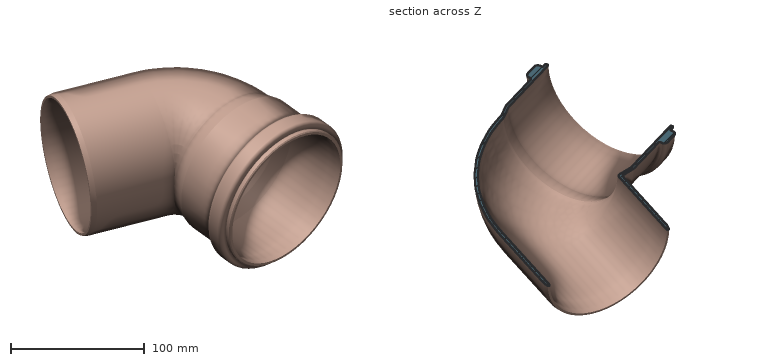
import cadquery as cq
import math

pipe_radius = 110.4 / 2
bore_radius = 104.7 / 2
bend_radius = bore_radius
bend_angle = 67.5
spigot_length = 67.7
tip_chamfer_length = 4.1
tip_chamfer_depth = 1.0

socket_radius = 116.3 / 2
socket_bore_radius = 111.0 / 2
collar_radius = 127.2 / 2
lip_radius = 116.7 / 2
neck_length = 2.0
cone_length = 10.9
barrel_length = 33.8
foot_length = 0.5
collar_length = 15.0
collar_rounding = 3.0
groove_length = 1.4
lip_length = 2.8
lip_chamfer = 0.8

cone_end = neck_length + cone_length
collar_start = cone_end + barrel_length
collar_end = collar_start + collar_length
lip_start = collar_end + groove_length
socket_length = lip_start + lip_length

turn = math.radians(bend_angle)
socket_origin = (bend_radius * (1 - math.cos(turn)), bend_radius * math.sin(turn), 0)
socket_direction = (math.sin(turn), math.cos(turn), 0)
socket_plane = cq.Plane(origin=socket_origin, xDir=(0, 0, 1), normal=socket_direction)


def spigot(radius):
    return cq.Workplane("XZ").circle(radius).extrude(spigot_length)


def bend(radius):
    """Sweep the part of a round section that lies outside the bend axis."""
    half_chord = math.sqrt(radius**2 - bend_radius**2)
    section = cq.Workplane("XZ")
    if half_chord > 0:
        section = section.moveTo(bend_radius, half_chord)
        section = section.threePointArc((-radius, 0), (bend_radius, -half_chord)).close()
    else:
        section = section.circle(radius)
    return section.revolve(bend_angle, (bend_radius, 2, 0), (bend_radius, 0, 0))


def socket(profile):
    """Turn a (radius, axial distance) profile about the socket axis."""
    upright = cq.Workplane("XZ").polyline(profile).close().revolve(360, (0, 0, 0), (0, 1, 0))
    return cq.Workplane(obj=upright.val().moved(cq.Location(socket_plane)))


def collar():
    start = cq.Workplane(socket_plane).workplane(offset=collar_start)
    ring = start.circle(collar_radius).extrude(collar_length)
    return ring.edges().fillet(collar_rounding)


socket_body = socket([
    (0, 0),
    (pipe_radius, 0),
    (pipe_radius, neck_length),
    (socket_radius, cone_end),
    (socket_radius, collar_start - foot_length),
    (lip_radius, collar_start - foot_length),
    (lip_radius, collar_start),
    (socket_radius, collar_start),
    (socket_radius, lip_start),
    (lip_radius, lip_start),
    (lip_radius, socket_length - lip_chamfer),
    (lip_radius - lip_chamfer, socket_length),
    (0, socket_length),
])
socket_bore = socket([
    (0, 0),
    (bore_radius, 0),
    (bore_radius, neck_length),
    (socket_bore_radius, cone_end),
    (socket_bore_radius, socket_length),
    (0, socket_length),
])

spigot_body = spigot(pipe_radius).faces("<Y").chamfer(tip_chamfer_length, tip_chamfer_depth)
outside = spigot_body.union(bend(pipe_radius)).union(socket_body).union(collar())

result = outside.cut(spigot(bore_radius)).cut(bend(bore_radius)).cut(socket_bore)